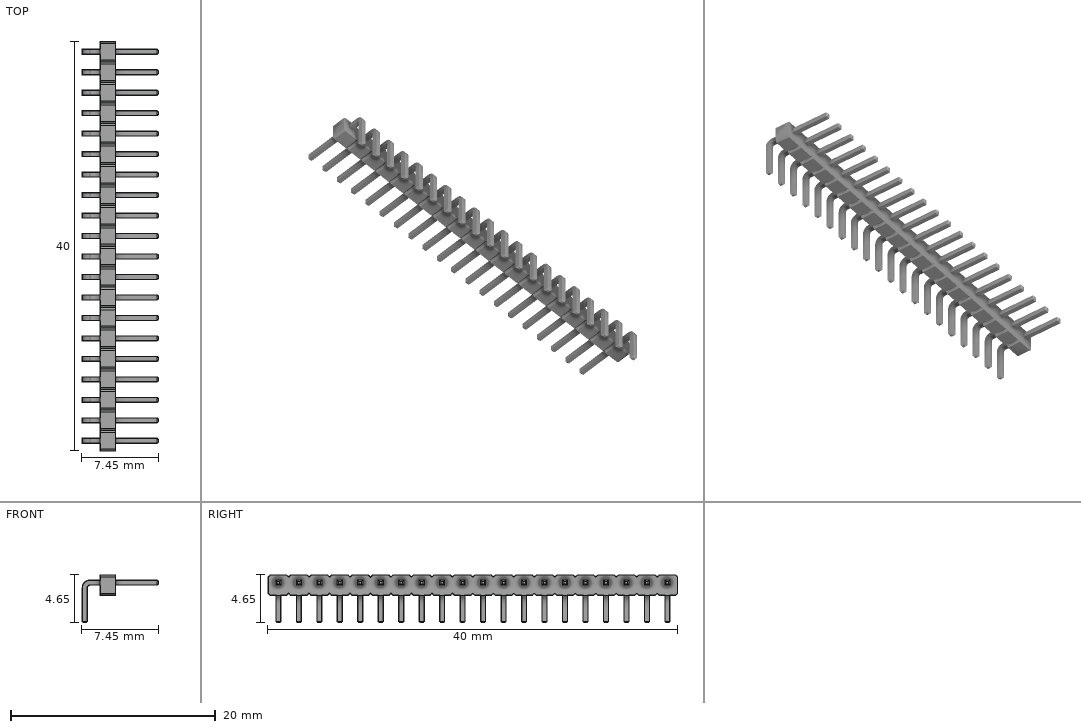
import cadquery as cq


pin_count = 20
pitch = 2.0
row_length = pin_count * pitch

body_width = 1.5
body_height = 2.0
segment_chamfer = 0.2

pin_size = 0.5
pin_reach_x = 7.45
overall_height = 4.65
pin_top_gap = 0.5
bend_outer_radius = 0.75
bend_inner_radius = bend_outer_radius - pin_size
tip_chamfer = pin_size / 4

body_start_x = 1.75
pin_top_z = body_height - pin_top_gap
pin_bottom_z = body_height - overall_height


def position_y(index):
    """Centre of one position along the row, which is symmetric about Y = 0."""
    return (index + 0.5) * pitch - row_length / 2


def make_segment():
    """One body block; its chamfered long edges form V grooves against the next block."""
    return (
        cq.Workplane("XY")
        .box(body_width, pitch, body_height, centered=(False, True, False))
        .edges("|X")
        .chamfer(segment_chamfer)
        .translate((body_start_x, 0, 0))
    )


def make_pin():
    """One square pin bent down at a right angle, with chamfered tips."""
    horizontal_leg = cq.Workplane("XY").box(
        pin_reach_x, pin_size, pin_size, centered=(False, True, False)
    ).translate((0, 0, pin_top_z - pin_size))
    vertical_leg = cq.Workplane("XY").box(
        pin_size, pin_size, pin_top_z - pin_bottom_z, centered=(False, True, False)
    ).translate((0, 0, pin_bottom_z))
    inner_corner = (pin_size, 0, pin_top_z - pin_size)
    outer_corner = (0, 0, pin_top_z)
    pin = horizontal_leg.union(vertical_leg)
    pin = pin.edges(cq.selectors.NearestToPointSelector(inner_corner)).fillet(bend_inner_radius)
    pin = pin.edges(cq.selectors.NearestToPointSelector(outer_corner)).fillet(bend_outer_radius)
    return pin.faces(">X or <Z").edges().chamfer(tip_chamfer)


segment = make_segment()
pin = make_pin()

body = segment.translate((0, position_y(0), 0))
for index in range(1, pin_count):
    body = body.union(segment.translate((0, position_y(index), 0)))

result = body
for index in range(pin_count):
    result = result.union(pin.translate((0, position_y(index), 0)))